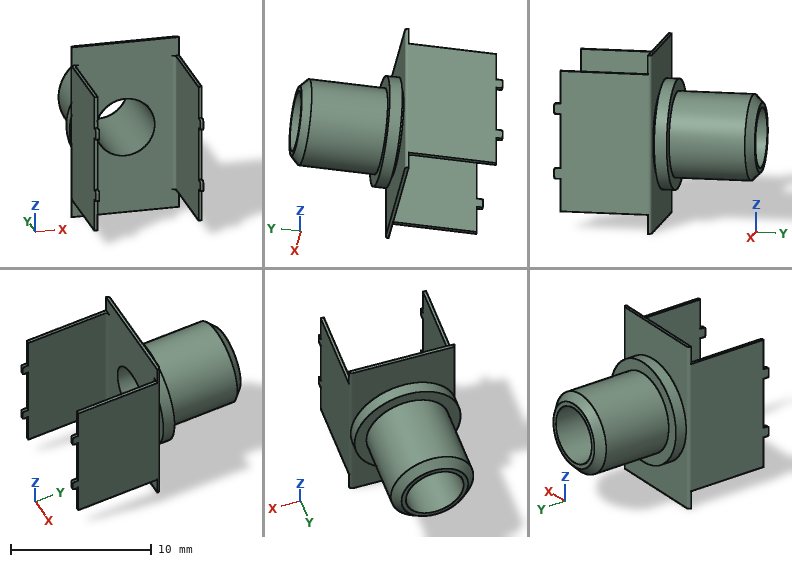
import cadquery as cq

sheet = 0.25
bracket_width = 7.93
plate_height = 13.0
wall_height = 10.23
bend_radius = sheet

tab_height = 0.77
tab_length = 0.46
tab_spacing = 4.72
tab_corner_radius = 0.15

bore_diameter = 4.35
collar_diameter = 6.56
flange_diameter = 7.97
barrel_diameter = 6.22
tip_chamfer = 0.6

total_length = 14.29
plate_front = 7.06
collar_front = 7.29
flange_front = 8.19
plate_back = plate_front - sheet


def box(width, y_start, y_end, height):
    """Box centred on the Y axis in X and Z."""
    length = y_end - y_start
    return cq.Workplane("XY").box(width, length, height).translate((0, y_start + length / 2, 0))


def disc(diameter, y_start, y_end):
    """Cylinder on the Y axis."""
    return cq.Workplane("XZ", origin=(0, y_start, 0)).circle(diameter / 2).extrude(y_start - y_end)


def make_plate():
    plate = box(bracket_width, plate_back, plate_front, plate_height)
    corner_blank = box(bracket_width, 0, plate_front, plate_height).edges("|Z and >Y").fillet(bend_radius)
    return plate.intersect(corner_blank)


def make_walls():
    inner_width = bracket_width - 2 * sheet
    channel = box(bracket_width, tab_length, plate_front, wall_height).edges("|Z and >Y").fillet(bend_radius)
    cavity = box(inner_width, 0, plate_back, wall_height).edges("|Z and >Y").fillet(bend_radius)
    return channel.cut(cavity)


def make_tab(side, z):
    tab = box(sheet, 0, tab_length, tab_height).edges("|X and <Y").fillet(tab_corner_radius)
    return tab.translate((side * (bracket_width - sheet) / 2, 0, z))


def make_barrel():
    collar = disc(collar_diameter, plate_front, collar_front)
    flange = disc(flange_diameter, collar_front, flange_front)
    barrel = disc(barrel_diameter, flange_front, total_length).faces(">Y").chamfer(tip_chamfer)
    return collar.union(flange).union(barrel)


result = make_plate().union(make_walls()).union(make_barrel())
for side in (-1, 1):
    for z in (-tab_spacing / 2, tab_spacing / 2):
        result = result.union(make_tab(side, z))
result = result.cut(disc(bore_diameter, 0, total_length))